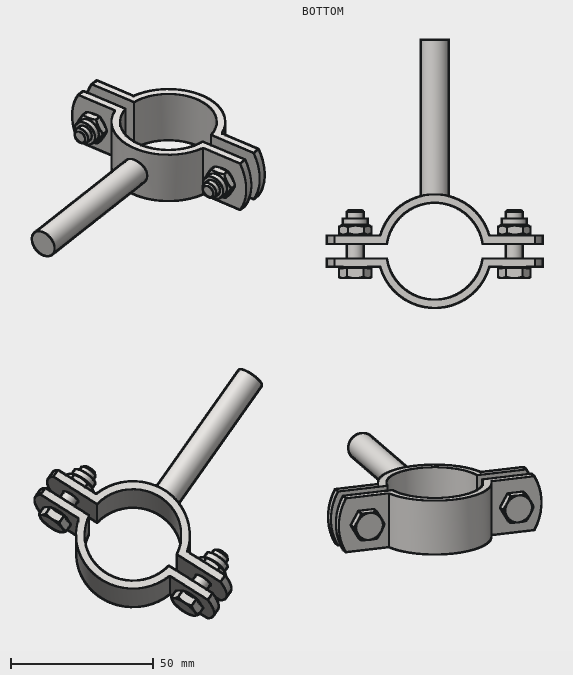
import cadquery as cq
import math

ring_outer_radius = 20.0
strap_thickness = 3.0
ring_inner_radius = ring_outer_radius - strap_thickness
clamp_height = 20.0
clamp_gap = 5.0
clamp_span = 76.0
lug_tip_radius = 20.0
lug_inner_face = clamp_gap / 2
lug_outer_face = lug_inner_face + strap_thickness

rod_diameter = 10.0
overall_length = 94.4
rod_end_y = ring_outer_radius - overall_length

bolt_x = 27.95
bolt_hole_diameter = 6.5
shank_diameter = 6.0
shank_length = 20.0
shank_tip_chamfer = 0.8
head_height = 4.0
hex_across_flats = 10.0
hex_corner_diameter = hex_across_flats / math.cos(math.radians(30))
head_washer_diameter = 8.7
head_washer_height = 0.5
hex_chamfer_angle = 30
nut_hex_height = 3.8
nut_height = 6.0
nut_collar_diameter = 8.9
nut_turn = -3


def cylinder_along_y(diameter, start_y, end_y):
    """Cylinder on the Y axis between two Y positions."""
    workplane = cq.Workplane("XZ", origin=(0, start_y, 0))
    return workplane.circle(diameter / 2).extrude(start_y - end_y)


def make_clamp_half():
    """Half ring with two drilled lugs, on the +Y side."""
    lug_half_span = clamp_span / 2
    inner_corner_x = math.sqrt(ring_inner_radius**2 - lug_inner_face**2)
    outer_corner_x = math.sqrt(ring_outer_radius**2 - lug_outer_face**2)
    strap = (
        cq.Workplane("XY", origin=(0, 0, -clamp_height / 2))
        .moveTo(-lug_half_span, lug_inner_face)
        .lineTo(-inner_corner_x, lug_inner_face)
        .threePointArc((0, ring_inner_radius), (inner_corner_x, lug_inner_face))
        .lineTo(lug_half_span, lug_inner_face)
        .lineTo(lug_half_span, lug_outer_face)
        .lineTo(outer_corner_x, lug_outer_face)
        .threePointArc((0, ring_outer_radius), (-outer_corner_x, lug_outer_face))
        .lineTo(-lug_half_span, lug_outer_face)
        .close()
        .extrude(clamp_height)
    )
    half_height = clamp_height / 2
    tip_sagitta = lug_tip_radius - math.sqrt(lug_tip_radius**2 - half_height**2)
    tip_corner_x = lug_half_span - tip_sagitta
    rounded_outline = (
        cq.Workplane("XZ")
        .moveTo(-tip_corner_x, -half_height)
        .lineTo(tip_corner_x, -half_height)
        .threePointArc((lug_half_span, 0), (tip_corner_x, half_height))
        .lineTo(-tip_corner_x, half_height)
        .threePointArc((-lug_half_span, 0), (-tip_corner_x, -half_height))
        .close()
        .extrude(-ring_outer_radius)
    )
    bolt_holes = (
        cq.Workplane("XZ")
        .pushPoints([(-bolt_x, 0), (bolt_x, 0)])
        .circle(bolt_hole_diameter / 2)
        .extrude(-ring_outer_radius)
    )
    return strap.intersect(rounded_outline).cut(bolt_holes)


def make_front_half():
    """Clamp half on the -Y side, with the rod joined to its ring."""
    half = make_clamp_half().mirror("XZ")
    rod_start_y = -(ring_inner_radius + ring_outer_radius) / 2
    return half.union(cylinder_along_y(rod_diameter, rod_start_y, rod_end_y))


def make_hex_prism(start_y, height, end_diameter, chamfer_ends):
    """Hexagon running toward -Y from start_y, bevelled to end_diameter at the chosen ends."""
    workplane = cq.Workplane("XZ", origin=(0, start_y, 0))
    prism = workplane.polygon(6, hex_corner_diameter).extrude(height)
    bevel_width = (hex_corner_diameter - end_diameter) / 2
    bevel_depth = bevel_width * math.tan(math.radians(hex_chamfer_angle))
    envelope = workplane.circle(hex_corner_diameter / 2).extrude(height)
    for end_face in chamfer_ends:
        envelope = envelope.faces(end_face).chamfer(bevel_depth, bevel_width)
    return prism.intersect(envelope)


def make_bolt(x):
    """Hex bolt with its head on the rear lug and its tip toward -Y."""
    hex_height = head_height - head_washer_height
    head = make_hex_prism(lug_outer_face + head_height, hex_height, hex_across_flats, [">Y"])
    washer_face = cylinder_along_y(head_washer_diameter, lug_outer_face + head_washer_height, lug_outer_face)
    shank = cylinder_along_y(shank_diameter, lug_outer_face, lug_outer_face - shank_length)
    shank = shank.faces("<Y").chamfer(shank_tip_chamfer)
    return head.union(washer_face).union(shank).translate((x, 0, 0))


def make_nut(x):
    """Hex nut with a round locking collar, seated on the front lug."""
    seat_y = -lug_outer_face
    hexagon = make_hex_prism(seat_y, nut_hex_height, nut_collar_diameter, [">Y", "<Y"])
    hexagon = hexagon.rotate((0, 0, 0), (0, 1, 0), nut_turn)
    end_y = seat_y - nut_height
    collar = cylinder_along_y(nut_collar_diameter, seat_y - nut_hex_height, end_y)
    bore = cylinder_along_y(shank_diameter, seat_y, end_y)
    return hexagon.union(collar).cut(bore).translate((x, 0, 0))


rear_half = make_clamp_half()
front_half = make_front_half()
bolts = []
nuts = []
for x in (-bolt_x, bolt_x):
    bolts.append(make_bolt(x).val())
    nuts.append(make_nut(x).val())

result = cq.Compound.makeCompound([rear_half.val(), front_half.val(), *bolts, *nuts])